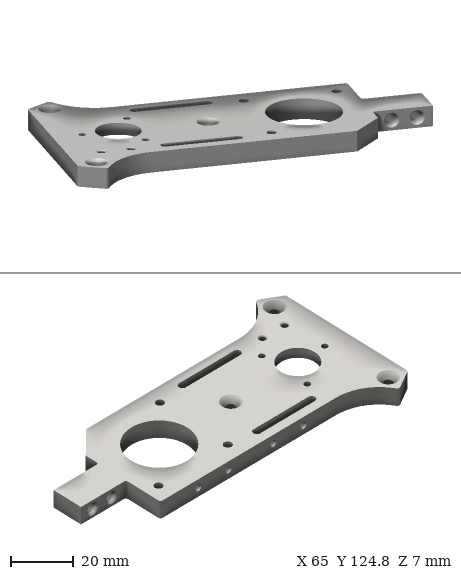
import cadquery as cq
import math

LENGTH = 124.8
THICKNESS = 7.0
BODY_WIDTH = 44.0
TAB_WIDTH = 12.5
TAB_LENGTH = 20.1
CORNER_CUT = 9.9
CORNER_RADIUS = 1.0

FLARE_START_Y = 26.5
FLARE_RADIUS = 20.0
FLARE_ANGLE = math.radians(60)

BORE_DIAMETER = 25.0
BORE_Y = 83.8
BORE_SCREW_SPACING = 31.0
BORE_SCREW_DIAMETER = 3.2

SMALL_BORE_DIAMETER = 15.0
SMALL_BORE_Y = 21.8
SMALL_BORE_CIRCLE_DIAMETER = 24.0
SMALL_BORE_SCREW_DIAMETER = 2.5
SMALL_BORE_SCREW_ANGLES = (30, 150, 270)
RECESS_DIAMETER = 31.0
RECESS_DEPTH = 3.0

COUNTERSINK_DIAMETER = 7.5
COUNTERSINK_ANGLE = 90
COUNTERSINK_HOLE_DIAMETER = 3.2
UPPER_MOUNT_Y = 51.8
FOOT_MOUNT_X = 26.0
FOOT_MOUNT_Y = 6.9

SLOT_X = 17.0
SLOT_Y = 44.6
SLOT_LENGTH = 27.5
SLOT_WIDTH = 3.0

PLATE_SCREW_DIAMETER = 2.5
PLATE_SCREW_CHAMFER = 0.4
PLATE_SCREW_YS = (11.1, 21.0)
TAB_HOLE_DIAMETER = 4.0
TAB_HOLE_CHAMFER = 0.5
TAB_HOLE_YS = (111.1, 119.6)

SIDE_HOLE_DIAMETER = 2.5
SIDE_HOLE_YS_TO_SLOT = (40.8, 54.3)
SIDE_HOLE_YS_TO_BORE = (74.3, 87.8)
BORE_WALL = 3.0

HALF_BODY = BODY_WIDTH / 2
HALF_TAB = TAB_WIDTH / 2
SHOULDER_Y = LENGTH - TAB_LENGTH
MID_Z = THICKNESS / 2


def polar(centre, radius, angle):
    return centre[0] + radius * math.cos(angle), centre[1] + radius * math.sin(angle)


def mirrored(points):
    """Points reflected to the -X side, in reverse order."""
    return [(-x, y) for x, y in reversed(points)]


def foot_points():
    """+X foot from the straight side down: flare arc, tip arc and bottom corner."""
    flare_centre = (HALF_BODY + FLARE_RADIUS, FLARE_START_Y)
    flare_middle = polar(flare_centre, FLARE_RADIUS, math.pi + FLARE_ANGLE / 2)
    flare_end = polar(flare_centre, FLARE_RADIUS, math.pi + FLARE_ANGLE)

    tip_centre = polar(flare_end, CORNER_RADIUS, math.pi + FLARE_ANGLE)
    tip_middle = polar(tip_centre, CORNER_RADIUS, FLARE_ANGLE - math.pi / 4)
    tip_end = polar(tip_centre, CORNER_RADIUS, FLARE_ANGLE - math.pi / 2)

    bottom = (tip_end[0] - tip_end[1] / math.tan(FLARE_ANGLE), 0)
    return [
        (HALF_BODY, FLARE_START_Y),
        flare_middle,
        flare_end,
        tip_middle,
        tip_end,
        bottom,
    ]


def round_corner(plate, x, y):
    corner_edge = cq.selectors.NearestToPointSelector((x, y, MID_Z))
    return plate.edges("|Z").edges(corner_edge).fillet(CORNER_RADIUS)


def make_plate():
    foot = foot_points()
    side, flare_middle, flare_end, tip_middle, tip_end, bottom = foot
    left_bottom, left_tip_end, left_tip_middle, left_flare_end, left_flare_middle, left_side = mirrored(foot)
    plate = (
        cq.Workplane("XY")
        .moveTo(-HALF_TAB, LENGTH)
        .lineTo(HALF_TAB, LENGTH)
        .lineTo(HALF_TAB, SHOULDER_Y)
        .lineTo(HALF_BODY - CORNER_CUT, SHOULDER_Y)
        .lineTo(HALF_BODY, SHOULDER_Y - CORNER_CUT)
        .lineTo(*side)
        .threePointArc(flare_middle, flare_end)
        .threePointArc(tip_middle, tip_end)
        .lineTo(*bottom)
        .lineTo(*left_bottom)
        .lineTo(*left_tip_end)
        .threePointArc(left_tip_middle, left_flare_end)
        .threePointArc(left_flare_middle, left_side)
        .lineTo(-HALF_BODY, SHOULDER_Y)
        .lineTo(-HALF_TAB, SHOULDER_Y)
        .close()
        .extrude(THICKNESS)
    )
    tab_roots = [(HALF_TAB, SHOULDER_Y), (-HALF_TAB, SHOULDER_Y)]
    left_shoulder = (-HALF_BODY, SHOULDER_Y)
    for x, y in tab_roots + [left_shoulder, bottom, left_bottom]:
        plate = round_corner(plate, x, y)
    return plate


def through_holes(points, diameter):
    return cq.Workplane("XY").pushPoints(points).circle(diameter / 2).extrude(THICKNESS)


def cut_large_bore(plate):
    offset = BORE_SCREW_SPACING / 2
    screws = [
        (-offset, BORE_Y + offset),
        (-offset, BORE_Y - offset),
        (offset, BORE_Y - offset),
    ]
    plate = plate.cut(through_holes([(0, BORE_Y)], BORE_DIAMETER))
    return plate.cut(through_holes(screws, BORE_SCREW_DIAMETER))


def cut_small_bore(plate):
    centre = (0, SMALL_BORE_Y)
    circle_radius = SMALL_BORE_CIRCLE_DIAMETER / 2
    screws = [polar(centre, circle_radius, math.radians(angle)) for angle in SMALL_BORE_SCREW_ANGLES]
    recess = cq.Workplane("XY").center(*centre).circle(RECESS_DIAMETER / 2).extrude(RECESS_DEPTH)
    plate = plate.cut(recess)
    plate = plate.cut(through_holes([centre], SMALL_BORE_DIAMETER))
    return plate.cut(through_holes(screws, SMALL_BORE_SCREW_DIAMETER))


def cut_countersunk_holes(plate):
    points = [(0, UPPER_MOUNT_Y), (-FOOT_MOUNT_X, FOOT_MOUNT_Y), (FOOT_MOUNT_X, FOOT_MOUNT_Y)]
    return (
        plate.faces(">Z")
        .workplane(origin=(0, 0, THICKNESS))
        .pushPoints(points)
        .cskHole(COUNTERSINK_HOLE_DIAMETER, COUNTERSINK_DIAMETER, COUNTERSINK_ANGLE)
    )


def cut_slots(plate):
    slots = (
        cq.Workplane("XY")
        .pushPoints([(-SLOT_X, SLOT_Y), (SLOT_X, SLOT_Y)])
        .slot2D(SLOT_LENGTH, SLOT_WIDTH, 90)
        .extrude(THICKNESS)
    )
    return plate.cut(slots)


def chamfered_hole(diameter, chamfer, depth):
    """Through-hole cutter along +Z from Z = 0, chamfered at both ends."""
    radius = diameter / 2
    mouth = radius + chamfer
    profile = [
        (0, 0),
        (mouth, 0),
        (radius, chamfer),
        (radius, depth - chamfer),
        (mouth, depth),
        (0, depth),
    ]
    return cq.Workplane("XZ").polyline(profile).close().revolve(360, (0, 0, 0), (0, 1, 0))


def cut_plate_screw_holes(plate):
    cutter = chamfered_hole(PLATE_SCREW_DIAMETER, PLATE_SCREW_CHAMFER, THICKNESS)
    for y in PLATE_SCREW_YS:
        plate = plate.cut(cutter.translate((SLOT_X, y, 0)))
    return plate


def cut_tab_holes(plate):
    cutter = chamfered_hole(TAB_HOLE_DIAMETER, TAB_HOLE_CHAMFER, TAB_WIDTH)
    cutter = cutter.rotate((0, 0, 0), (0, 1, 0), 90)
    for y in TAB_HOLE_YS:
        plate = plate.cut(cutter.translate((-HALF_TAB, y, MID_Z)))
    return plate


def side_holes(ys, end_x):
    return (
        cq.Workplane("YZ", origin=(-HALF_BODY, 0, MID_Z))
        .pushPoints([(y, 0) for y in ys])
        .circle(SIDE_HOLE_DIAMETER / 2)
        .extrude(end_x + HALF_BODY)
    )


def cut_side_holes(plate):
    """Holes from the -X side: one pair opens into the slot, the other stops around the bore."""
    plate = plate.cut(side_holes(SIDE_HOLE_YS_TO_SLOT, -SLOT_X))
    bore_surround = through_holes([(0, BORE_Y)], BORE_DIAMETER + 2 * BORE_WALL)
    return plate.cut(side_holes(SIDE_HOLE_YS_TO_BORE, 0).cut(bore_surround))


result = make_plate()
result = cut_large_bore(result)
result = cut_small_bore(result)
result = cut_countersunk_holes(result)
result = cut_slots(result)
result = cut_plate_screw_holes(result)
result = cut_tab_holes(result)
result = cut_side_holes(result)